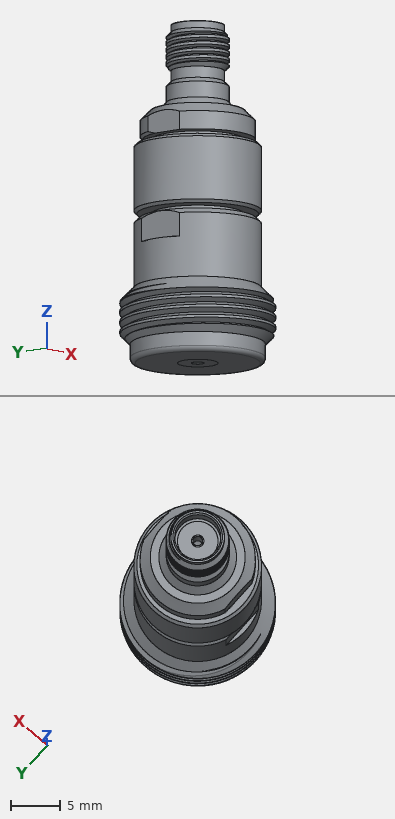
import cadquery as cq
import math


LENGTH = 35.05

SKIRT_RADIUS = 6.9
SKIRT_FILLET = 0.53
SKIRT_TOP = 1.95
LARGE_CREST_RADIUS = 7.95
LARGE_ROOT_RADIUS = 7.3
LARGE_GROOVE_START = 1.15
LARGE_GROOVE_LENGTH = 6.35
LARGE_GROOVE_TURNS = 6
LARGE_PITCH = LARGE_GROOVE_LENGTH / LARGE_GROOVE_TURNS

BARREL_RADIUS = 6.5
BARREL_BOTTOM = 7.78
BARREL_TOP = 14.95
BARREL_CHAMFER = 0.53
BARREL_FLAT_BOTTOM = 12.02
BARREL_FLAT_OFFSET = 6.03

NECK_RADIUS = 4.73
NECK_HEIGHT = 0.53
SLEEVE_BOTTOM = BARREL_TOP + NECK_HEIGHT
SLEEVE_TOP = 22.67
SLEEVE_CHAMFER = 0.3

COLLAR_RADIUS = 5.9
COLLAR_BOTTOM = SLEEVE_TOP + NECK_HEIGHT
COLLAR_TOP = 26.15
COLLAR_TOP_CHAMFER = 1.05
COLLAR_BOTTOM_CHAMFER = 0.28
COLLAR_FLAT_OFFSET = 5.5

SHOULDER_BASE_RADIUS = 3.95
SHOULDER_BOTTOM = 27.0
SHOULDER_CHAMFER_TOP = 29.15
SMALL_THREAD_BOTTOM = 30.3
SMALL_THREAD_TOP = 34.3
TIP_RADIUS = 2.75
SMALL_CREST_RADIUS = 3.22
SMALL_ROOT_RADIUS = 2.87
SMALL_GROOVE_START = 29.75
SMALL_GROOVE_LENGTH = 4.95
SMALL_GROOVE_TURNS = 7
SMALL_PITCH = SMALL_GROOVE_LENGTH / SMALL_GROOVE_TURNS

THREAD_HALF_ANGLE = 30.0
GROOVE_OVERRUN = 0.07

SOCKET_RADIUS = 2.35
SOCKET_DEPTH = 1.9
SOCKET_CHAMFER = 0.18
CORE_RADIUS = 2.05
CONTACT_RADIUS = 0.63
CONTACT_HOLE_RADIUS = 0.5
CONTACT_HOLE_DEPTH = 1.93
DRILL_HALF_ANGLE = 59.0

SOCKET_FLOOR = LENGTH - SOCKET_DEPTH


def cylinder(radius, bottom, top):
    """A cylinder on the Z axis between two heights."""
    return cq.Workplane("XY").workplane(offset=bottom).circle(radius).extrude(top - bottom)


def outer_form():
    """The turned outside of the housing, before threads and flats."""
    large_rise = LARGE_CREST_RADIUS - SKIRT_RADIUS
    large_fall = LARGE_CREST_RADIUS - BARREL_RADIUS
    small_step = SMALL_CREST_RADIUS - TIP_RADIUS
    collar_top_radius = COLLAR_RADIUS - COLLAR_TOP_CHAMFER
    outline = [
        (0, 0),
        (SKIRT_RADIUS, 0),
        (SKIRT_RADIUS, SKIRT_TOP),
        (LARGE_CREST_RADIUS, SKIRT_TOP + large_rise),
        (LARGE_CREST_RADIUS, BARREL_BOTTOM - large_fall),
        (BARREL_RADIUS, BARREL_BOTTOM),
        (BARREL_RADIUS, BARREL_TOP - BARREL_CHAMFER),
        (BARREL_RADIUS - BARREL_CHAMFER, BARREL_TOP),
        (NECK_RADIUS, BARREL_TOP),
        (NECK_RADIUS, SLEEVE_BOTTOM),
        (BARREL_RADIUS - SLEEVE_CHAMFER, SLEEVE_BOTTOM),
        (BARREL_RADIUS, SLEEVE_BOTTOM + SLEEVE_CHAMFER),
        (BARREL_RADIUS, SLEEVE_TOP - SLEEVE_CHAMFER),
        (BARREL_RADIUS - SLEEVE_CHAMFER, SLEEVE_TOP),
        (NECK_RADIUS, SLEEVE_TOP),
        (NECK_RADIUS, COLLAR_BOTTOM),
        (COLLAR_RADIUS, COLLAR_BOTTOM),
        (COLLAR_RADIUS, COLLAR_TOP - COLLAR_TOP_CHAMFER),
        (collar_top_radius, COLLAR_TOP),
        (SHOULDER_BASE_RADIUS, COLLAR_TOP),
        (SMALL_CREST_RADIUS, SHOULDER_BOTTOM),
        (SMALL_CREST_RADIUS, SHOULDER_CHAMFER_TOP - small_step),
        (TIP_RADIUS, SHOULDER_CHAMFER_TOP),
        (TIP_RADIUS, SMALL_THREAD_BOTTOM),
        (SMALL_CREST_RADIUS, SMALL_THREAD_BOTTOM + small_step),
        (SMALL_CREST_RADIUS, SMALL_THREAD_TOP - small_step),
        (TIP_RADIUS, SMALL_THREAD_TOP),
        (TIP_RADIUS, LENGTH),
        (0, LENGTH),
    ]
    form = cq.Workplane("XZ").polyline(outline).close().revolve(360, (0, 0, 0), (0, 1, 0))
    return form.faces("<Z").edges().fillet(SKIRT_FILLET)


def cut_thread(body, root_radius, crest_radius, pitch, start, turns):
    """Cut a right-handed helical V groove, one turn at a time, beginning on +X at height start."""
    outer_radius = crest_radius + GROOVE_OVERRUN
    half_width = (outer_radius - root_radius) * math.tan(math.radians(THREAD_HALF_ANGLE))
    helix = cq.Wire.makeHelix(pitch, pitch, root_radius)
    one_turn = (
        cq.Workplane("XZ")
        .polyline([(root_radius, 0), (outer_radius, half_width), (outer_radius, -half_width)])
        .close()
        .sweep(cq.Workplane(helix), isFrenet=True)
    )
    for turn in range(turns):
        body = body.cut(one_turn.translate((0, 0, start + turn * pitch)))
    return body


def flat_pair(offset, bottom, top):
    """Material outside two flats that face -X and +X."""
    reach = 2 * BARREL_RADIUS
    height = top - bottom
    middle = (bottom + top) / 2
    centres = [(side * (offset + reach / 2), 0, middle) for side in (-1, 1)]
    return cq.Workplane("XY").pushPoints(centres).box(reach, reach, height)


def collar_bottom_chamfer():
    """Chamfer on the lower edge of the collar, on its +Y half only."""
    ring = [
        (COLLAR_RADIUS - COLLAR_BOTTOM_CHAMFER, COLLAR_BOTTOM),
        (COLLAR_RADIUS, COLLAR_BOTTOM),
        (COLLAR_RADIUS, COLLAR_BOTTOM + COLLAR_BOTTOM_CHAMFER),
    ]
    return cq.Workplane("XZ").polyline(ring).close().revolve(180, (0, 0, 0), (0, 1, 0))


def make_housing():
    housing = outer_form()
    housing = housing.cut(cylinder(CORE_RADIUS, 0, SOCKET_FLOOR))
    housing = housing.cut(cylinder(SOCKET_RADIUS, SOCKET_FLOOR, LENGTH))
    socket_rim = housing.faces(">Z").edges(cq.selectors.RadiusNthSelector(0))
    housing = socket_rim.chamfer(SOCKET_CHAMFER)
    housing = housing.cut(collar_bottom_chamfer())
    housing = housing.cut(flat_pair(COLLAR_FLAT_OFFSET, COLLAR_BOTTOM, COLLAR_TOP))
    housing = housing.cut(flat_pair(BARREL_FLAT_OFFSET, BARREL_FLAT_BOTTOM, BARREL_TOP))
    housing = cut_thread(
        housing, LARGE_ROOT_RADIUS, LARGE_CREST_RADIUS, LARGE_PITCH, LARGE_GROOVE_START, LARGE_GROOVE_TURNS
    )
    return cut_thread(
        housing, SMALL_ROOT_RADIUS, SMALL_CREST_RADIUS, SMALL_PITCH, SMALL_GROOVE_START, SMALL_GROOVE_TURNS
    )


def make_core():
    """Insulator that fills the housing bore around the contact."""
    return cylinder(CORE_RADIUS, 0, SOCKET_FLOOR).cut(cylinder(CONTACT_RADIUS, 0, SOCKET_FLOOR))


def make_contact():
    """Centre contact, with a drilled blind hole in its upper end."""
    cone_depth = CONTACT_HOLE_RADIUS / math.tan(math.radians(DRILL_HALF_ANGLE))
    hole_bottom = SOCKET_FLOOR - CONTACT_HOLE_DEPTH
    outline = [
        (0, 0),
        (CONTACT_RADIUS, 0),
        (CONTACT_RADIUS, SOCKET_FLOOR),
        (CONTACT_HOLE_RADIUS, SOCKET_FLOOR),
        (CONTACT_HOLE_RADIUS, hole_bottom),
        (0, hole_bottom - cone_depth),
    ]
    return cq.Workplane("XZ").polyline(outline).close().revolve(360, (0, 0, 0), (0, 1, 0))


housing = make_housing()
core = make_core()
contact = make_contact()

result = cq.Compound.makeCompound([housing.solids().val(), core.solids().val(), contact.val()])